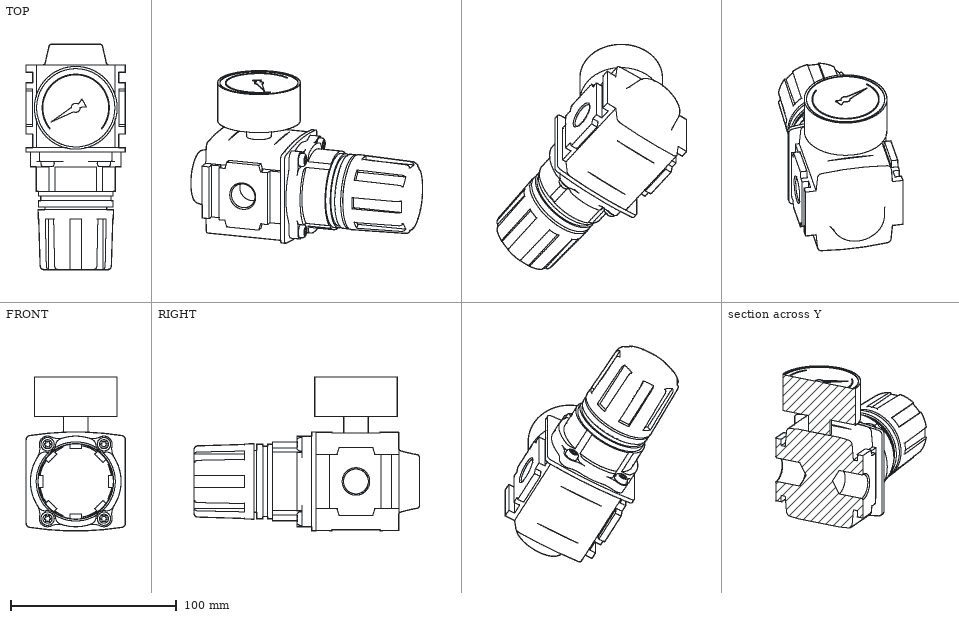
import cadquery as cq
import math


block_back = 25.9
flange_back = -24.1
flange_front = -26.7
overall_width = 60.0
half_width = overall_width / 2
block_crown_height = 29.8
flange_crown_height = 30.0
crown_radius = 178.3
wall_half_width = 23.5
wall_top_half_width = 22.5
block_corner_radius = 3.0
flange_corner_radius = 2.7
gauge_pad_side = 29.1
gauge_pad_height = 29.3

plate_half_height = 16.3
web_half_width = 26.0
rear_rail_front = 21.4
port_pad_back = 15.1
port_pad_front = -15.9
tongue_half_height = 20.4
tongue_root_half_length = 11.4
tongue_tip_half_length = 10.2
port_diameter = 15.0
port_chamfer = 0.8
port_depth = 16.3
drill_tip_half_angle = math.radians(59)

cap_end = 38.4
cap_base_radius = 18.8
cap_end_radius = 15.9
cap_fillet = 1.6

collar_radius = 27.4
collar_front = -35.7
screw_seat = -32.4
screw_x = 17.0
screw_z = 22.5
screw_reach = math.hypot(screw_x, screw_z)
screw_angle = math.degrees(math.atan2(screw_z, screw_x))
boss_radius = 4.9
boss_blend_radius = 10.2
pocket_blend_radius = 4.4
sleeve_diameter = 47.8
sleeve_front = -50.3
ring_diameter = 45.0
groove_diameter = 42.6
groove_back = -53.2
groove_front = -56.0
ring_front = -59.9
neck_diameter = 37.4

head_diameter = 8.0
head_rim_height = 0.8
head_height = 3.1
head_flat_diameter = 5.5
head_bulge_radius = 3.8
head_bulge_height = 2.2
socket_diameter = 4.0
socket_core_radius = 1.4
socket_lobe_radius = 0.5
socket_lobes = 6
socket_depth = 1.4

knob_back = -61.4
knob_front = -97.7
knob_back_radius = 22.9
knob_front_radius = 21.8
knob_fillet = 2.5
grip_slots = 8
grip_slot_back = -67.1
grip_slot_width = 7.1
grip_slot_floor = 19.7

gauge_top = 63.0
gauge_bottom = 39.0
gauge_diameter = 50.0
stem_diameter = 15.0
dial_diameter = 47.2
dial_recess = 0.4
marking_height = 0.3
scale_outer_radius = 20.3
scale_inner_radius = 19.9
scale_start = math.radians(-39)
scale_end = math.radians(219)
hub_radius = 2.7
needle_length = 17.3
needle_root_angle = math.radians(33)
tail_length = 5.9
tail_half_width = 2.7
tail_root_angle = math.radians(25)
needle_tilt = 30.0


def control_plane(y):
    """Plane at the given Y whose local axes are X and Z and whose normal points to -Y."""
    return cq.Workplane("XZ", origin=(0, y, 0))


def disc_y(diameter, back, front):
    return control_plane(back).circle(diameter / 2).extrude(back - front)


def disc_z(diameter, bottom, top):
    return cq.Workplane("XY", origin=(0, 0, bottom)).circle(diameter / 2).extrude(top - bottom)


def box(x_range, y_range, z_range):
    size = [high - low for low, high in (x_range, y_range, z_range)]
    low_corner = (x_range[0], y_range[0], z_range[0])
    return cq.Workplane("XY").box(*size, centered=False).translate(low_corner)


def polar(radius, angle):
    return (radius * math.cos(angle), radius * math.sin(angle))


def mirrored_down(point):
    """Mirror image of a point across the first axis of its plane."""
    return (point[0], -point[1])


def dome(x, crown_height):
    """Height of a domed top at the given X."""
    return crown_height - crown_radius + math.sqrt(crown_radius**2 - x**2)



def domed_prism(side_points, crown_height, back, front, corner_radius):
    """Prism with domed top and bottom; side_points lists the +X side from bottom to top."""
    top_right = side_points[-1]
    left_side = [(-x, z) for x, z in reversed(side_points)]
    outline = control_plane(back).moveTo(*side_points[0])
    for point in side_points[1:]:
        outline = outline.lineTo(*point)
    outline = outline.threePointArc((0, crown_height), (-top_right[0], top_right[1]))
    for point in left_side[1:]:
        outline = outline.lineTo(*point)
    outline = outline.threePointArc((0, -crown_height), side_points[0]).close()
    prism = outline.extrude(back - front)
    corners = prism.edges("|Y").filter(lambda edge: abs(edge.Center().z) > tongue_half_height)
    return corners.fillet(corner_radius)


def valve_block():
    top_corner = (wall_top_half_width, dome(wall_top_half_width, block_crown_height))
    shoulder = (wall_half_width, plate_half_height)
    side = [mirrored_down(top_corner), mirrored_down(shoulder), shoulder, top_corner]
    block = domed_prism(side, block_crown_height, block_back, flange_back, block_corner_radius)
    half_pad = gauge_pad_side / 2
    for low, high in ((gauge_pad_height, block_crown_height), (-block_crown_height, -gauge_pad_height)):
        block = block.cut(box((-half_pad, half_pad), (-half_pad, half_pad), (low, high)))
    return block


def flange():
    corner = (half_width, dome(half_width, flange_crown_height))
    side = [mirrored_down(corner), corner]
    return domed_prism(side, flange_crown_height, flange_back, flange_front, flange_corner_radius)


def port_plate():
    """Slotted coupling plate on the +X side."""
    height = (-plate_half_height, plate_half_height)
    rail_depth = (web_half_width, half_width)
    plate = box((0, web_half_width), (flange_back, block_back), height)
    plate = plate.union(box(rail_depth, (rear_rail_front, block_back), height))
    plate = plate.union(box(rail_depth, (port_pad_front, port_pad_back), height))
    right_side = [
        (tongue_tip_half_length, -tongue_half_height),
        (tongue_root_half_length, -plate_half_height),
        (tongue_root_half_length, plate_half_height),
        (tongue_tip_half_length, tongue_half_height),
    ]
    left_side = [(-y, z) for y, z in reversed(right_side)]
    tongues = (
        cq.Workplane("YZ", origin=(web_half_width, 0, 0))
        .polyline(right_side + left_side)
        .close()
        .extrude(half_width - web_half_width)
    )
    return plate.union(tongues)


def port_hole():
    """Drilled port on the +X side with a chamfered mouth and a conical bottom."""
    radius = port_diameter / 2
    floor = half_width - port_depth
    tip = floor - radius / math.tan(drill_tip_half_angle)
    profile = [
        (tip, 0),
        (floor, radius),
        (half_width - port_chamfer, radius),
        (half_width, radius + port_chamfer),
        (half_width, 0),
    ]
    return cq.Workplane("XY").polyline(profile).close().revolve(360, (0, 0, 0), (1, 0, 0))


def end_cap():
    """Tapered cap on the back, flared into the block and rounded at its end."""
    lean = math.atan2(cap_base_radius - cap_end_radius, cap_end - block_back)
    half_turn = (math.pi / 2 - lean) / 2
    setback = cap_fillet * math.tan(half_turn)
    along = setback * math.cos(lean)
    inward = setback * math.sin(lean)
    to_middle = cap_fillet / math.cos(half_turn) - cap_fillet
    dr, dy = polar(to_middle, lean + half_turn)
    profile = (
        cq.Workplane("XY")
        .moveTo(0, block_back)
        .lineTo(cap_base_radius + setback, block_back)
        .threePointArc((cap_base_radius + dr, block_back + dy),
                       (cap_base_radius - inward, block_back + along))
        .lineTo(cap_end_radius + inward, cap_end - along)
        .threePointArc((cap_end_radius - dr, cap_end - dy), (cap_end_radius - setback, cap_end))
        .lineTo(0, cap_end)
        .close()
    )
    return profile.revolve(360, (0, 0, 0), (0, 1, 0))


def blend_center(axis_distance, screw_distance):
    """Point at the given distances from the control axis and from a screw at (screw_reach, 0)."""
    along = (axis_distance**2 - screw_distance**2 + screw_reach**2) / (2 * screw_reach)
    return (along, math.sqrt(axis_distance**2 - along**2))


def blend_arc(center, radius, axis_sign):
    """Start on the collar circle, middle, and end on the screw's circle of a tangent blend arc.

    axis_sign is 1 for an arc outside the collar circle and -1 for one inside it.
    """
    to_axis = math.atan2(-axis_sign * center[1], -axis_sign * center[0])
    to_screw = math.atan2(-center[1], screw_reach - center[0])
    turn = (to_screw - to_axis + math.pi) % (2 * math.pi) - math.pi
    points = []
    for angle in (to_axis, to_axis + turn / 2, to_axis + turn):
        dx, dy = polar(radius, angle)
        points.append((center[0] + dx, center[1] + dy))
    return points


def screw_boss():
    """Boss for a screw on the +X axis, blended into the collar on both sides."""
    center = blend_center(collar_radius + boss_blend_radius, boss_radius + boss_blend_radius)
    on_collar, middle, on_boss = blend_arc(center, boss_blend_radius, 1)
    return (
        control_plane(flange_front)
        .lineTo(*on_collar)
        .threePointArc(middle, on_boss)
        .threePointArc((screw_reach + boss_radius, 0), mirrored_down(on_boss))
        .threePointArc(mirrored_down(middle), mirrored_down(on_collar))
        .close()
        .extrude(flange_front - screw_seat)
    )


def screw_pocket():
    """Clearance around a screw on the +X axis: a rounded bay in the collar and a long channel."""
    center = blend_center(collar_radius - pocket_blend_radius, boss_radius + pocket_blend_radius)
    on_collar, middle, on_channel = blend_arc(center, pocket_blend_radius, -1)
    outside = (screw_reach + 2 * boss_radius, on_collar[1])
    bay = (
        control_plane(screw_seat)
        .moveTo(*on_collar)
        .threePointArc(middle, on_channel)
        .threePointArc((screw_reach - boss_radius, 0), mirrored_down(on_channel))
        .threePointArc(mirrored_down(middle), mirrored_down(on_collar))
        .lineTo(*mirrored_down(outside))
        .lineTo(*outside)
        .close()
        .extrude(screw_seat - collar_front)
    )
    channel = disc_y(2 * boss_radius, screw_seat, sleeve_front).translate((screw_reach, 0, 0))
    return bay.union(channel)


def screw_head():
    """Button head with a six-lobed socket, centred on the control axis."""
    head = (
        cq.Workplane("XY")
        .moveTo(0, screw_seat)
        .lineTo(head_diameter / 2, screw_seat)
        .lineTo(head_diameter / 2, screw_seat - head_rim_height)
        .threePointArc((head_bulge_radius, screw_seat - head_bulge_height),
                       (head_flat_diameter / 2, screw_seat - head_height))
        .lineTo(0, screw_seat - head_height)
        .close()
        .revolve(360, (0, 0, 0), (0, 1, 0))
    )
    top = screw_seat - head_height
    socket = disc_y(2 * socket_core_radius, top + socket_depth, top)
    lobe = disc_y(2 * socket_lobe_radius, top + socket_depth, top)
    for index in range(socket_lobes):
        angle = 2 * math.pi * index / socket_lobes
        x, z = polar(socket_diameter / 2 - socket_lobe_radius, angle)
        socket = socket.union(lobe.translate((x, 0, z)))
    return head.cut(socket)


def bonnet():
    shape = disc_y(2 * collar_radius, flange_front, collar_front)
    shape = shape.union(disc_y(sleeve_diameter, collar_front, sleeve_front))
    turns = [screw_angle, 180 - screw_angle, 180 + screw_angle, -screw_angle]
    for turn in turns:
        shape = shape.union(screw_boss().rotate((0, 0, 0), (0, 1, 0), -turn))
    for turn in turns:
        shape = shape.cut(screw_pocket().rotate((0, 0, 0), (0, 1, 0), -turn))
    for x in (-screw_x, screw_x):
        for z in (-screw_z, screw_z):
            shape = shape.union(screw_head().translate((x, 0, z)))
    shape = shape.union(disc_y(ring_diameter, sleeve_front, groove_back))
    shape = shape.union(disc_y(groove_diameter, groove_back, groove_front))
    shape = shape.union(disc_y(ring_diameter, groove_front, ring_front))
    return shape.union(disc_y(neck_diameter, ring_front, knob_back))


def make_housing():
    body = valve_block().union(flange())
    body = body.union(port_plate()).union(port_plate().mirror("YZ"))
    body = body.cut(port_hole()).cut(port_hole().mirror("YZ"))
    return body.union(end_cap()).union(bonnet())



def make_knob():
    """Tapered knob with flat-bottomed grip slots open at its front end."""
    profile = [
        (0, knob_back),
        (knob_back_radius, knob_back),
        (knob_front_radius, knob_front),
        (0, knob_front),
    ]
    body = cq.Workplane("XY").polyline(profile).close().revolve(360, (0, 0, 0), (0, 1, 0))
    body = body.faces("<Y").edges().fillet(knob_fillet)
    half_slot = grip_slot_width / 2
    slot = box(
        (grip_slot_floor, 2 * knob_back_radius), (knob_front, grip_slot_back), (-half_slot, half_slot)
    )
    for index in range(grip_slots):
        body = body.cut(slot.rotate((0, 0, 0), (0, 1, 0), index * 360 / grip_slots))
    return body



def dial_scale(dial_height):
    """Thin raised arc around the dial."""
    middle = (scale_start + scale_end) / 2
    return (
        cq.Workplane("XY", origin=(0, 0, dial_height))
        .moveTo(*polar(scale_outer_radius, scale_start))
        .threePointArc(polar(scale_outer_radius, middle), polar(scale_outer_radius, scale_end))
        .lineTo(*polar(scale_inner_radius, scale_end))
        .threePointArc(polar(scale_inner_radius, middle), polar(scale_inner_radius, scale_start))
        .close()
        .extrude(marking_height)
    )


def needle(dial_height):
    """Raised needle: pointed end, round hub and flared tail."""
    root = polar(hub_radius, math.pi - needle_root_angle)
    tail_root = polar(hub_radius, tail_root_angle)
    tail_end = (tail_length, tail_half_width)
    shape = disc_z(2 * hub_radius, dial_height, dial_height + marking_height)
    for outline in (
        [(0, 0), root, (-needle_length, 0), mirrored_down(root)],
        [(0, 0), tail_root, tail_end, mirrored_down(tail_end), mirrored_down(tail_root)],
    ):
        blade = cq.Workplane("XY", origin=(0, 0, dial_height)).polyline(outline).close()
        shape = shape.union(blade.extrude(marking_height))
    return shape.rotate((0, 0, 0), (0, 0, 1), needle_tilt)


def make_gauge():
    dial_height = gauge_top - dial_recess
    stem = disc_z(stem_diameter, gauge_pad_height, gauge_bottom)
    case = disc_z(gauge_diameter, gauge_bottom, gauge_top)
    recess = disc_z(dial_diameter, dial_height, gauge_top)
    face = case.union(stem).cut(recess)
    return face.union(dial_scale(dial_height)).union(needle(dial_height))


housing = make_housing()
knob = make_knob()
gauge = make_gauge()

result = cq.Compound.makeCompound([housing.solids().val(), knob.solids().val(), gauge.solids().val()])